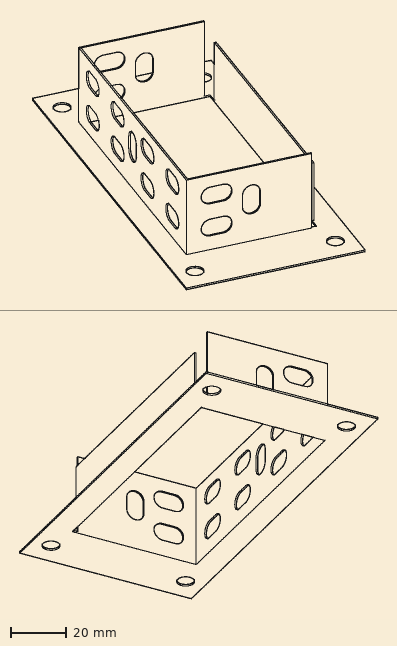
import cadquery as cq

sheet = 0.7
plate_length = 145.0
plate_width = 70.0
hole_diameter = 6.5
hole_spacing_x = 125.0
hole_spacing_y = 55.0

frame_length = 101.5
frame_width = 51.9
wall_top = 32.0
side_wall_back = 23.0
tab_length = 92.2
tab_top = 25.0
opening_length = frame_length - 2 * sheet
opening_width = frame_width - 2 * sheet

slot_length = 12.0
slot_width = 7.0
center_slot_z = 18.1
front_slot_heights = (9.5, 24.0)
front_slot_offsets = (14.0, 37.4)
side_slot_heights = (10.0, 23.5)
side_slot_y = -14.0
side_center_slot_y = -0.5


def wall(x_min, x_max, y_min, y_max, top):
    """Rectangular upright standing on the underside plane of the plate."""
    block = cq.Workplane("XY").box(x_max - x_min, y_max - y_min, top, centered=False)
    return block.translate((x_min, y_min, 0))


def slot_cutters(plane, depth, horizontal_points, upright_point):
    """Lengthwise slots plus one upright slot, extruded both ways from a plane."""
    horizontal = (
        cq.Workplane(plane).pushPoints(horizontal_points)
        .slot2D(slot_length, slot_width).extrude(depth, both=True)
    )
    upright = (
        cq.Workplane(plane).center(*upright_point)
        .slot2D(slot_length, slot_width, 90).extrude(depth, both=True)
    )
    return horizontal.union(upright)


def make_plate():
    """Flat plate with the rectangular opening and four corner holes."""
    plate = (
        cq.Workplane("XY").rect(plate_length, plate_width)
        .rect(opening_length, opening_width).extrude(sheet)
    )
    holes = (
        cq.Workplane("XY").rect(hole_spacing_x, hole_spacing_y, forConstruction=True)
        .vertices().circle(hole_diameter / 2).extrude(sheet)
    )
    return plate.cut(holes)


def make_front_wall():
    """Long slotted wall on the -Y edge of the opening."""
    front = -frame_width / 2
    blank = wall(-frame_length / 2, frame_length / 2, front, front + sheet, wall_top)
    points = [(side * x, z) for side in (-1, 1) for x in front_slot_offsets for z in front_slot_heights]
    cutters = slot_cutters("XZ", 2 * sheet, points, (0, center_slot_z))
    return blank.cut(cutters.translate((0, front, 0)))


def make_side_walls():
    """Matching slotted walls at both ends, stopping short of the back tab."""
    outer = frame_length / 2
    inner = opening_length / 2
    front = -frame_width / 2
    left = wall(-outer, -inner, front, side_wall_back, wall_top)
    right = wall(inner, outer, front, side_wall_back, wall_top)
    points = [(side_slot_y, z) for z in side_slot_heights]
    cutters = slot_cutters("YZ", plate_length / 2, points, (side_center_slot_y, center_slot_z))
    return left.union(right).cut(cutters)


def make_back_tab():
    """Plain, lower wall on the +Y edge of the opening."""
    return wall(-tab_length / 2, tab_length / 2, opening_width / 2, frame_width / 2, tab_top)


result = make_plate().union(make_front_wall()).union(make_side_walls()).union(make_back_tab())